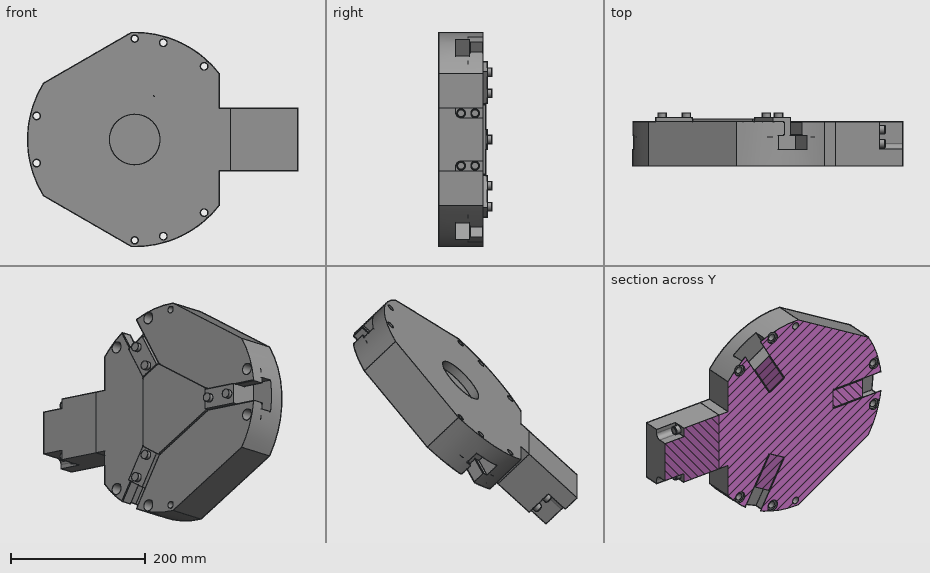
import cadquery as cq
import math


overall_length = 401.0
cut_margin = 4.0

disc_diameter = 318.0
disc_radius = disc_diameter / 2
disc_thickness = 66.0
side_flat_distance = 140.0
side_flat_angles = (120, 240)
neck_flat_distance = 125.5
neck_end = 142.3
neck_half_height = 46.5
recess_diameter = 75.0
recess_depth = 13.2

boss_height = 4.0
boss_side_distance = 49.5
boss_corner_distance = 70.0
boss_corner_width = 35.3
boss_half_tip_angle = 30

jaw_angles = (60, 180, 300)
slot_floor = 25.0
slot_shoulder = 45.5
slot_foot_width = 48.5
slot_stem_width = 30.0
slot_edge_chamfer = 1.2
jaw_foot_width = 46.5
jaw_inner_end = boss_corner_distance
jaw_length = 54.5
jaw_top = 72.0
jaw_pin_diameter = 13.0
jaw_pin_top = 79.0
jaw_pin_radii = (79.0, 115.0)

bolt_circle_radius = 149.5
bolt_spread_angle = 13.5
bolt_hole_diameter = 11.0
counterbore_diameter = 17.0
counterbore_depth = 23.0
dowel_angles = (90, 270)
dowel_hole_diameter = 10.0
dowel_chamfer = 0.5

block_end = overall_length - disc_radius
notch_start = 207.2
notch_wall = 25.3
screw_diameter = 13.0
screw_head_height = 9.0
screw_chamfer = 1.2
screw_seat_radius = 8.0
screw_front_y = notch_wall + screw_seat_radius
screw_pitch = 21.0
notch_depth = 14.5
screw_inset = 7.5


def polar(radius, angle):
    """X and Z of a point at an angle measured from +X toward +Z."""
    turn = math.radians(angle)
    return radius * math.cos(turn), radius * math.sin(turn)


def turned(shape, angle):
    """Turn a shape about the disc axis from +X toward +Z."""
    return shape.rotate((0, 0, 0), (0, 1, 0), -angle)


def face_plane(y):
    """Work plane across the disc axis; negative extrusions run toward +Y."""
    return cq.Workplane("XZ", origin=(0, y, 0))


def span_box(x_span, y_span, z_span):
    """Box between two limits on each axis."""
    spans = (x_span, y_span, z_span)
    size = [high - low for low, high in spans]
    corner = [low for low, high in spans]
    return cq.Workplane("XY").box(*size, centered=False).translate(tuple(corner))


def cylinders(diameter, start, end, points):
    """Cylinders along Y from start to end."""
    return face_plane(start).pushPoints(points).circle(diameter / 2).extrude(start - end)


def tee_profile(x, foot_width, top):
    """T-shaped section across a slot, with its foot on the slot floor."""
    half_foot = foot_width / 2
    half_stem = slot_stem_width / 2
    return (
        cq.Workplane("YZ", origin=(x, 0, 0))
        .moveTo(slot_floor, -half_foot)
        .lineTo(slot_shoulder, -half_foot)
        .lineTo(slot_shoulder, -half_stem)
        .lineTo(top, -half_stem)
        .lineTo(top, half_stem)
        .lineTo(slot_shoulder, half_stem)
        .lineTo(slot_shoulder, half_foot)
        .lineTo(slot_floor, half_foot)
        .close()
    )


def make_disc():
    """Round disc with two sloping flats and one flat facing the neck."""
    disc = face_plane(0).circle(disc_radius).extrude(-disc_thickness)
    flats = [(0, neck_flat_distance)] + [(angle, side_flat_distance) for angle in side_flat_angles]
    for angle, distance in flats:
        cutter = span_box(
            (distance, disc_radius + cut_margin),
            (-cut_margin, disc_thickness + cut_margin),
            (-disc_radius, disc_radius),
        )
        disc = disc.cut(turned(cutter, angle))
    return disc


def make_boss():
    """Triangle whose corners end in short square tongues at the jaws."""
    half_width = boss_corner_width / 2
    tongue_start = 2 * boss_side_distance - half_width / math.tan(math.radians(boss_half_tip_angle))
    tongue = (
        (tongue_start, -half_width),
        (boss_corner_distance, -half_width),
        (boss_corner_distance, half_width),
        (tongue_start, half_width),
    )
    points = [
        polar(math.hypot(out, across), angle + math.degrees(math.atan2(across, out)))
        for angle in jaw_angles
        for out, across in tongue
    ]
    return face_plane(disc_thickness).polyline(points).close().extrude(-boss_height)


def make_slot_cutter():
    """T-slot open to the rim, with chamfered edges along the stem."""
    length = disc_radius + cut_margin - jaw_inner_end
    cutter = tee_profile(jaw_inner_end, slot_foot_width, disc_thickness).extrude(length)
    half_stem = slot_stem_width / 2
    for side in (-1, 1):
        for edge_y, inward in ((slot_shoulder, 1), (disc_thickness, -1)):
            chamfer = (
                cq.Workplane("YZ", origin=(jaw_inner_end, 0, 0))
                .moveTo(edge_y, side * half_stem)
                .lineTo(edge_y, side * (half_stem + slot_edge_chamfer))
                .lineTo(edge_y + inward * slot_edge_chamfer, side * half_stem)
                .close()
                .extrude(length)
            )
            cutter = cutter.union(chamfer)
    return cutter


def make_bolt_holes():
    """Through holes beside each jaw, counterbored from the back."""
    points = [
        polar(bolt_circle_radius, angle + side * bolt_spread_angle)
        for angle in jaw_angles
        for side in (-1, 1)
    ]
    holes = cylinders(bolt_hole_diameter, 0, disc_thickness, points)
    counterbore_floor = disc_thickness - counterbore_depth
    return holes.union(cylinders(counterbore_diameter, counterbore_floor, disc_thickness, points))


def make_dowel_holes():
    """Through holes with a small chamfer at the front face."""
    points = [polar(bolt_circle_radius, angle) for angle in dowel_angles]
    holes = cylinders(dowel_hole_diameter, 0, disc_thickness, points)
    mouth_radius = dowel_hole_diameter / 2 + dowel_chamfer
    for x, z in points:
        cone = cq.Solid.makeCone(
            mouth_radius, dowel_hole_diameter / 2, dowel_chamfer, cq.Vector(x, 0, z), cq.Vector(0, 1, 0)
        )
        holes = holes.union(cq.Workplane(cone))
    return holes


def make_housing():
    """Disc with its neck and boss, cut by the recess, the T-slots and the holes."""
    neck = span_box((0, neck_end), (0, disc_thickness), (-neck_half_height, neck_half_height))
    housing = make_disc().union(neck).union(make_boss())
    housing = housing.cut(cylinders(recess_diameter, 0, recess_depth, [(0, 0)]))
    slot_cutter = make_slot_cutter()
    for angle in jaw_angles:
        housing = housing.cut(turned(slot_cutter, angle))
    return housing.cut(make_bolt_holes()).cut(make_dowel_holes())


def make_jaw(angle):
    """T-shaped jaw with two round pins on its back."""
    jaw = tee_profile(jaw_inner_end, jaw_foot_width, jaw_top).extrude(jaw_length)
    pin_points = [(radius, 0) for radius in jaw_pin_radii]
    jaw = jaw.union(cylinders(jaw_pin_diameter, jaw_top, jaw_pin_top, pin_points))
    return turned(jaw, angle)


def make_notch():
    """Screw notch in the upper end corner of the block, rounded at its inner edge."""
    notch = span_box(
        (notch_start, block_end + cut_margin),
        (notch_wall, disc_thickness + cut_margin),
        (neck_half_height - notch_depth, neck_half_height + cut_margin),
    )
    return notch.edges("|X and <Y and <Z").fillet(screw_seat_radius)


def make_screw_heads():
    """Chamfered screw heads on the end wall of the notch."""
    points = [(screw_front_y + step * screw_pitch, neck_half_height - screw_inset) for step in (0, 1)]
    return (
        cq.Workplane("YZ", origin=(notch_start, 0, 0))
        .pushPoints(points)
        .circle(screw_diameter / 2)
        .extrude(screw_head_height)
        .faces(">X")
        .chamfer(screw_chamfer)
    )


def make_drive_block():
    """Block beyond the neck, with a screw notch at its upper and lower end corners."""
    block = span_box((neck_end, block_end), (0, disc_thickness), (-neck_half_height, neck_half_height))
    notch = make_notch()
    screws = make_screw_heads()
    block = block.cut(notch).cut(notch.mirror("XY"))
    return block.union(screws).union(screws.mirror("XY"))


housing = make_housing()
drive_block = make_drive_block()
jaws = [make_jaw(angle) for angle in jaw_angles]

result = cq.Compound.makeCompound(
    [housing.solids().val(), drive_block.solids().val(), *[jaw.solids().val() for jaw in jaws]]
)